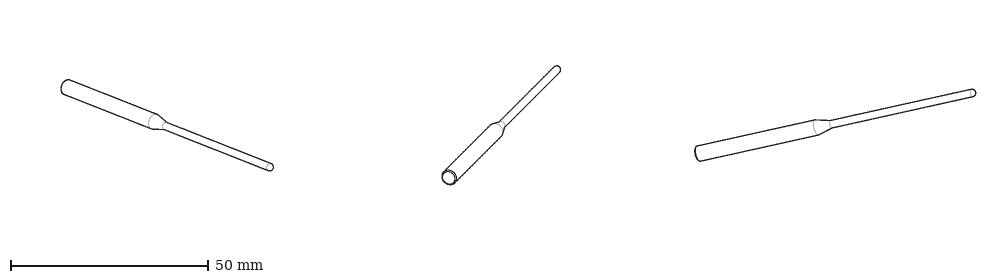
import cadquery as cq
import math

length = 77.0
handle_radius = 2.0
rod_radius = 1.0
handle_length = 33.0
taper_length = 4.0
end_chamfer = 0.3

back_x = -length / 2
front_x = length / 2
taper_start_x = back_x + handle_length
taper_end_x = taper_start_x + taper_length
dome_start_x = front_x - rod_radius

dome_mid = (
    dome_start_x + rod_radius * math.cos(math.pi / 4),
    rod_radius * math.sin(math.pi / 4),
)

profile = (
    cq.Workplane("XY")
    .moveTo(back_x, 0)
    .lineTo(back_x, handle_radius - end_chamfer)
    .lineTo(back_x + end_chamfer, handle_radius)
    .lineTo(taper_start_x, handle_radius)
    .lineTo(taper_end_x, rod_radius)
    .lineTo(dome_start_x, rod_radius)
    .threePointArc(dome_mid, (front_x, 0))
    .close()
)

result = profile.revolve(360, (0, 0, 0), (1, 0, 0))